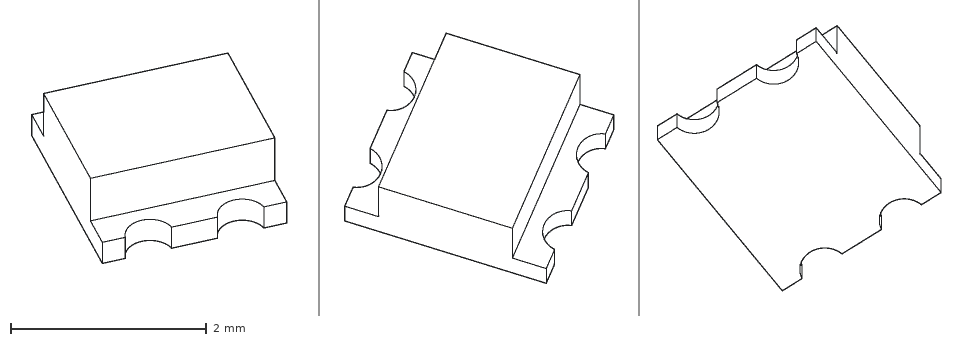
import cadquery as cq

board_length = 2.2
board_width = 2.0
board_height = 0.28

total_height = 0.84
body_length = 1.46
body_height = total_height - board_height

notch_depth = 0.207
notch_opening = 0.502
notch_pitch = board_width / 2


def make_board():
    return cq.Workplane("XY").box(board_length, board_width, board_height, centered=(True, True, False))


def make_body():
    body = cq.Workplane("XY").workplane(offset=board_height)
    return body.box(body_length, board_width, body_height, centered=(True, True, False))


def make_notch(side, y):
    """Cutter for one notch: side is -1 or +1 for the X end, y is its middle."""
    edge_x = side * board_length / 2
    return (
        cq.Workplane("XY")
        .moveTo(edge_x, y - notch_opening / 2)
        .threePointArc((edge_x - side * notch_depth, y), (edge_x, y + notch_opening / 2))
        .close()
        .extrude(board_height)
    )


result = make_board()
for side in (-1, 1):
    for y in (-notch_pitch / 2, notch_pitch / 2):
        result = result.cut(make_notch(side, y))
result = result.union(make_body())